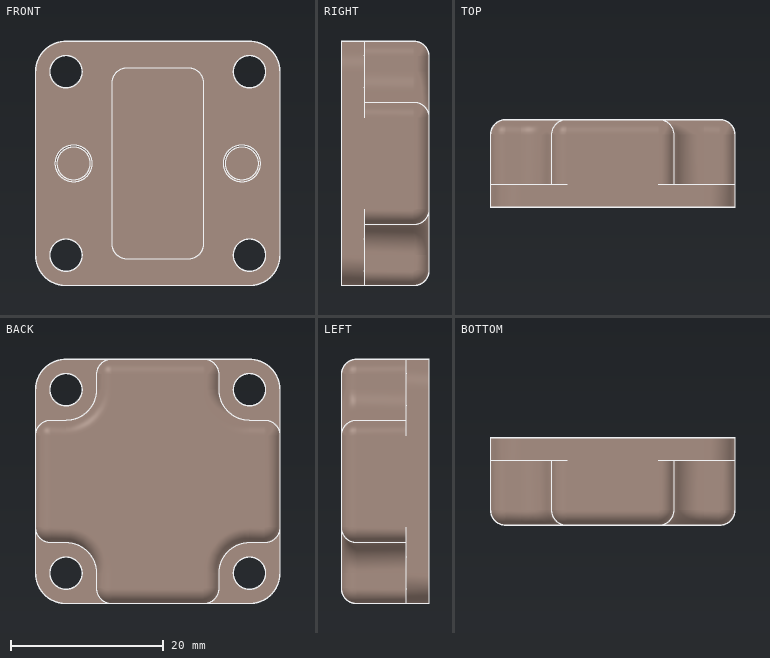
import cadquery as cq
import math

side = 32
depth = 11.5

flange_thickness = 3.0
corner_radius = 4.0
mount_hole_diameter = 4.2
mount_hole_offset = side / 2 - corner_radius

arm_width = side / 2
inner_corner_radius = corner_radius
edge_round = corner_radius / 2

recess_width = 12.0
recess_height = 25.0
recess_depth = 0.25
recess_corner_radius = edge_round

pocket_diameter = 4.83
pocket_floor_diameter = 4.32
pocket_depth = 0.25
pocket_offset = 11.0


def front_sketch():
    """Workplane on the front face, extruding toward +Y."""
    return cq.Workplane("XZ").transformed(rotate=(180, 0, 0))


def rounded_block(width, height, thickness, radius):
    """Block standing on the front face with its four Y edges rounded."""
    return front_sketch().rect(width, height).extrude(thickness).edges("|Y").fillet(radius)


def make_body():
    """Cross with concave inner corners, rounded arm corners and a rounded back edge."""
    upright_arm = rounded_block(arm_width, side, depth, edge_round)
    level_arm = rounded_block(side, arm_width, depth, edge_round)
    zone = (mount_hole_offset, 2 * depth, mount_hole_offset)
    inner_corners = cq.selectors.BoxSelector(tuple(-reach for reach in zone), zone)
    return (
        upright_arm.union(level_arm)
        .edges("|Y")
        .edges(inner_corners)
        .fillet(inner_corner_radius)
        .faces(">Y")
        .edges()
        .fillet(edge_round)
    )


def make_mount_holes():
    """Four through holes, one near each flange corner."""
    spacing = 2 * mount_hole_offset
    return (
        front_sketch()
        .rect(spacing, spacing, forConstruction=True)
        .vertices()
        .circle(mount_hole_diameter / 2)
        .extrude(flange_thickness)
    )


def make_pockets():
    """Pair of blind round pockets that narrow toward their floors."""
    wall_inset = (pocket_diameter - pocket_floor_diameter) / 2
    wall_taper = math.degrees(math.atan2(wall_inset, pocket_depth))
    return (
        front_sketch()
        .pushPoints([(-pocket_offset, 0), (pocket_offset, 0)])
        .circle(pocket_diameter / 2)
        .extrude(pocket_depth, taper=wall_taper)
    )


flange = rounded_block(side, side, flange_thickness, corner_radius)
recess = rounded_block(recess_width, recess_height, recess_depth, recess_corner_radius)

result = flange.union(make_body()).cut(make_mount_holes()).cut(recess).cut(make_pockets())